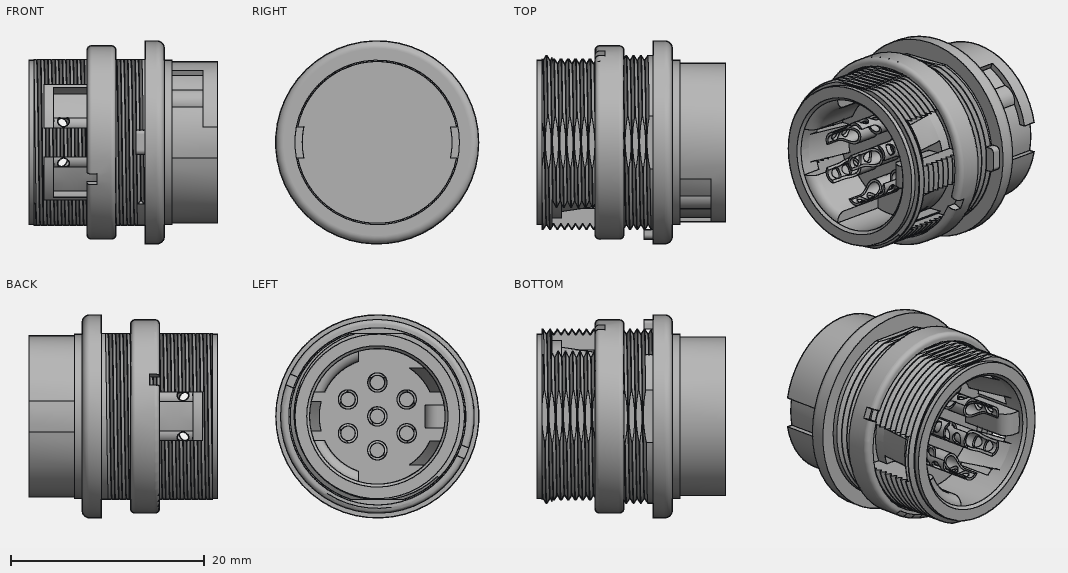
import cadquery as cq
import math

TOTAL_LENGTH = 19.5
COLLAR_END = 0.53
FLOOR_X = 6.6
NUT_START, NUT_END = 6.0, 9.0
FLANGE_START, FLANGE_END = 12.0, 14.0
SHOULDER_END = 14.8

CORE_RADIUS = 8.5
THREAD_RADIUS = 9.0
THREAD_ROOT_RADIUS = 8.52
THREAD_PITCH = 0.75
FRONT_THREAD_TURNS = 9
REAR_THREAD_TURNS = 4
GROOVE_START = 0.43
REAR_GROOVE_LEAD = 11
SEGMENTS_PER_TURN = 4
SEGMENT_ANGLE = 360 / SEGMENTS_PER_TURN
SEGMENT_ADVANCE = THREAD_PITCH / SEGMENTS_PER_TURN
GROOVE_ROOT_WIDTH = 0.06
GROOVE_MOUTH_WIDTH = 0.72
GROOVE_CLEARANCE = 0.03
FLAT_HALF_HEIGHT = 8.58
BORE_RADIUS = 7.0
BORE_CHAMFER = 0.3

WINDOW_START = 1.58
WINDOW_OPEN_START = 2.57
WINDOW_END = 7.8
LEDGE_RADIUS = 7.95
BAR_HALF_WIDTH = 1.5
SIDE_WINDOW_TOP = 5.97
SIDE_OPENING_TOP = 5.66
REAR_WINDOW_HALF_WIDTH = 2.5

TAB_TIP_RADIUS = 6.0
TAB_OUTER_START_RADIUS = 7.57
SIDE_TAB_BOTTOM, SIDE_TAB_TOP = 2.54, 5.0
REAR_TAB_HALF_WIDTH = 1.52

RIB_RADIUS = 6.0
RIB_START = 0.3
RIB_MIN_Y, RIB_MIN_Z = 1.97, 2.5
KEY_START = 0.8
KEY_INNER_Y = 4.93
KEY_HALF_WIDTH = 1.2
KEY_NOSE_RADIUS = 1.24
KEY_EDGE_RADIUS = 0.15

PIN_CIRCLE_RADIUS = 3.5
PIN_COUNT = 6
PIN_DIAMETER = 2.0
CUP_DIAMETER = 1.5
CUP_TIP_X = 0.85
CUP_BOTTOM_X = 6.0
LIP_HEIGHT = 0.5
CUP_CUT_RADIUS = 1.5
CUP_CUT_START = 2.5
WIRE_HOLE_DIAMETER = 1.2
WIRE_HOLE_STATIONS = (1.98, 3.58)

NUT_RADIUS = 10.0
NUT_FILLET = 0.5
NUT_BORE_RADIUS = 9.15
NUT_WEB_START, NUT_WEB_END = 7.8, 8.3
NUT_THREAD_RADIUS = 8.0
NUT_SLOT_WIDTH = 1.2
NUT_SLOT_DEPTH = 1.05
NUT_SLOT_ANGLE = 22.5

FLANGE_RADIUS = 10.5
FLANGE_FILLET = 0.8
LOCATOR_START = 11.05
LOCATOR_HALF_WIDTH = 1.27
LOCATOR_INNER_Y, LOCATOR_OUTER_Y = 9.0, 10.0
LOCATOR_FILLET = 0.45

PLUG_RADIUS = 8.36
PLUG_BASE_RADIUS = 7.74
PLUG_SLOT_HALF_WIDTH = 1.6
POCKET_END = 17.97
POCKET_TOP_ANGLE = 63.0
BUMP_START_ANGLE, BUMP_END_ANGLE = 28.2, 44.6
BUMP_HEIGHT = 0.4


def disc(x_start, x_end, radius):
    """Cylinder on the X axis between two stations."""
    return cq.Workplane("YZ", origin=(x_start, 0, 0)).circle(radius).extrude(x_end - x_start)


def block(x_start, x_end, y_start, y_end, z_start, z_end):
    """Box given by its limits along each axis."""
    size = (x_end - x_start, y_end - y_start, z_end - z_start)
    return cq.Workplane("XY").box(*size, centered=False).translate((x_start, y_start, z_start))


def revolved(points):
    """Body turned about the X axis from (x, radius) points."""
    return cq.Workplane("XY").polyline(points).close().revolve(360, (0, 0, 0), (1, 0, 0))


def groove_segment():
    """Quarter turn of a right-hand V groove, centred below the X axis at x = 0."""
    helix = cq.Wire.makeHelix(THREAD_PITCH, SEGMENT_ADVANCE, THREAD_ROOT_RADIUS)
    mouth_radius = THREAD_RADIUS + GROOVE_CLEARANCE
    profile = (
        cq.Workplane("XZ")
        .moveTo(THREAD_ROOT_RADIUS, -GROOVE_ROOT_WIDTH / 2)
        .lineTo(mouth_radius, -GROOVE_MOUTH_WIDTH / 2)
        .lineTo(mouth_radius, GROOVE_MOUTH_WIDTH / 2)
        .lineTo(THREAD_ROOT_RADIUS, GROOVE_ROOT_WIDTH / 2)
        .close()
    )
    segment = profile.sweep(cq.Workplane(helix), isFrenet=True)
    segment = segment.rotate((0, 0, 0), (0, 1, 0), 90)
    segment = segment.rotate((0, 0, 0), (1, 0, 0), -SEGMENT_ANGLE / 2)
    return segment.translate((-SEGMENT_ADVANCE / 2, 0, 0))


def thread_groove(start, turns):
    """Helical groove as a chain of quarter turns, which keeps each face small."""
    segment = groove_segment()
    chain = []
    for index in range(turns * SEGMENTS_PER_TURN):
        turned = segment.rotate((0, 0, 0), (1, 0, 0), SEGMENT_ANGLE * index)
        chain.append(turned.translate((start + SEGMENT_ADVANCE * index, 0, 0)).val())
    return cq.Workplane(chain[0].fuse(*chain[1:], glue=True))


def threaded_sleeve(x_start, x_end, groove_start, turns):
    """Tube with an outside thread that is flattened at top and bottom."""
    groove = thread_groove(groove_start, turns)
    flats = block(
        x_start, x_end,
        -THREAD_RADIUS, THREAD_RADIUS,
        -FLAT_HALF_HEIGHT, FLAT_HALF_HEIGHT,
    )
    sleeve = disc(x_start, x_end, THREAD_RADIUS).cut(groove, clean=False)
    sleeve = sleeve.intersect(flats, clean=False)
    return sleeve.cut(disc(x_start, x_end, BORE_RADIUS), clean=False)


def front_sleeve():
    """Thread ahead of the nut, opened by the windows."""
    sleeve = threaded_sleeve(COLLAR_END, NUT_WEB_START, GROOVE_START, FRONT_THREAD_TURNS)
    return sleeve.cut(windows(), clean=False)


def rear_sleeve():
    """Thread between nut and flange, in step with the thread ahead of the nut."""
    groove_start = GROOVE_START + REAR_GROOVE_LEAD * THREAD_PITCH
    return threaded_sleeve(NUT_WEB_START, FLANGE_START, groove_start, REAR_THREAD_TURNS)


def collar():
    """Plain lead-in ring with a chamfered mouth."""
    return revolved([
        (0, BORE_RADIUS + BORE_CHAMFER),
        (0, CORE_RADIUS),
        (COLLAR_END, CORE_RADIUS),
        (COLLAR_END, BORE_RADIUS),
        (BORE_CHAMFER, BORE_RADIUS),
    ])


def window(y_start, y_end, pocket_z, opening_z):
    """Shallow pocket leaving a ledge, with an opening through to the bore."""
    pocket = block(WINDOW_START, WINDOW_END, y_start, y_end, *pocket_z)
    pocket = pocket.cut(disc(WINDOW_START, WINDOW_END, LEDGE_RADIUS))
    return pocket.union(block(WINDOW_OPEN_START, WINDOW_END, y_start, y_end, *opening_z))


def windows():
    """Two windows on the -Y side and one on the +Y side."""
    upper = window(
        -FLANGE_RADIUS, -RIB_MIN_Y,
        (BAR_HALF_WIDTH, SIDE_WINDOW_TOP),
        (BAR_HALF_WIDTH, SIDE_OPENING_TOP),
    )
    rear_width = (-REAR_WINDOW_HALF_WIDTH, REAR_WINDOW_HALF_WIDTH)
    rear_window = window(RIB_RADIUS, FLANGE_RADIUS, rear_width, rear_width)
    return upper.union(upper.mirror("XY")).union(rear_window)


def tabs():
    """Conical tongues running from the front of each window inwards to the floor."""
    cone = revolved([
        (WINDOW_START, BORE_RADIUS),
        (WINDOW_START, TAB_OUTER_START_RADIUS),
        (WINDOW_OPEN_START, TAB_OUTER_START_RADIUS),
        (FLOOR_X, BORE_RADIUS),
        (FLOOR_X, TAB_TIP_RADIUS),
    ])
    upper = block(WINDOW_START, FLOOR_X, -FLANGE_RADIUS, 0, SIDE_TAB_BOTTOM, SIDE_TAB_TOP)
    rear_tab = block(
        WINDOW_START, FLOOR_X, 0, FLANGE_RADIUS, -REAR_TAB_HALF_WIDTH, REAR_TAB_HALF_WIDTH
    )
    return cone.intersect(upper.union(upper.mirror("XY")).union(rear_tab))


def bore_ribs():
    """Two curved ribs with rounded noses on the +Y half of the bore."""
    nose_radius = BORE_RADIUS - RIB_RADIUS
    nose_mid = nose_radius * (1 - math.sqrt(0.5))
    rib_ring = (
        cq.Workplane("XY")
        .moveTo(RIB_START, BORE_RADIUS)
        .threePointArc(
            (RIB_START + nose_mid, BORE_RADIUS - nose_radius + nose_mid),
            (RIB_START + nose_radius, RIB_RADIUS),
        )
        .lineTo(FLOOR_X, RIB_RADIUS)
        .lineTo(FLOOR_X, BORE_RADIUS)
        .close()
        .revolve(360, (0, 0, 0), (1, 0, 0))
    )
    upper = block(0, FLOOR_X, RIB_MIN_Y, BORE_RADIUS, RIB_MIN_Z, BORE_RADIUS)
    return rib_ring.intersect(upper.union(upper.mirror("XY")))


def bore_key():
    """Key with a rounded nose on the -Y side of the bore."""
    limits = (KEY_START, FLOOR_X, -LEDGE_RADIUS, -KEY_INNER_Y, -KEY_HALF_WIDTH, KEY_HALF_WIDTH)
    nosed = block(*limits).edges("|Z and <X and >Y").fillet(KEY_NOSE_RADIUS)
    rounded = block(*limits).edges("|X and >Y").fillet(KEY_EDGE_RADIUS)
    return nosed.intersect(rounded).intersect(disc(0, FLOOR_X, BORE_RADIUS))


def solder_pin():
    """Pin on the X axis whose cup is cut away to leave a lip on the +Y side."""
    radius = PIN_DIAMETER / 2
    pin = disc(CUP_TIP_X, FLOOR_X, radius).cut(disc(CUP_TIP_X, CUP_BOTTOM_X, CUP_DIAMETER / 2))
    cut_end = CUP_CUT_START + CUP_CUT_RADIUS
    arc_step = CUP_CUT_RADIUS * math.sqrt(0.5)
    cut_profile = (
        cq.Workplane("XY", origin=(0, 0, -radius))
        .moveTo(CUP_TIP_X, LIP_HEIGHT)
        .lineTo(CUP_CUT_START, LIP_HEIGHT)
        .threePointArc(
            (CUP_CUT_START + arc_step, LIP_HEIGHT - CUP_CUT_RADIUS + arc_step),
            (cut_end, LIP_HEIGHT - CUP_CUT_RADIUS),
        )
        .lineTo(CUP_TIP_X, LIP_HEIGHT - CUP_CUT_RADIUS)
        .close()
        .extrude(PIN_DIAMETER)
    )
    pin = pin.cut(cut_profile)
    for station in WIRE_HOLE_STATIONS:
        hole = cq.Workplane("XZ", origin=(station, 0, 0)).circle(WIRE_HOLE_DIAMETER / 2)
        pin = pin.cut(hole.extrude(-PIN_DIAMETER))
    return pin


def contacts():
    """One contact on the axis and six around it with their lips facing outwards."""
    centre_pin = solder_pin()
    group = centre_pin
    for index in range(PIN_COUNT):
        angle = 360 / PIN_COUNT * (index + 0.5)
        pin = centre_pin.translate((0, PIN_CIRCLE_RADIUS, 0))
        group = group.union(pin.rotate((0, 0, 0), (1, 0, 0), angle))
    return group


def insert():
    """Solid insulator filling the bore behind the floor."""
    return disc(FLOOR_X, FLANGE_START, BORE_RADIUS)


def nut():
    """Round nut with recessed ends and two spanner slots in its front face."""
    body = disc(NUT_START, NUT_END, NUT_RADIUS).edges().fillet(NUT_FILLET)
    body = body.cut(disc(NUT_START, NUT_WEB_START, NUT_BORE_RADIUS))
    body = body.cut(disc(NUT_WEB_END, NUT_END, NUT_BORE_RADIUS))
    body = body.cut(disc(NUT_START, NUT_END, NUT_THREAD_RADIUS))
    slot_half = NUT_SLOT_WIDTH / 2
    slot = block(
        NUT_START, NUT_START + NUT_SLOT_DEPTH,
        -FLANGE_RADIUS, FLANGE_RADIUS,
        -slot_half, slot_half,
    )
    slot = slot.cut(disc(NUT_START, NUT_END, NUT_BORE_RADIUS))
    return body.cut(slot.rotate((0, 0, 0), (1, 0, 0), NUT_SLOT_ANGLE))


def flange():
    """Flange with a rounded rim, its locating key and the shoulder behind it."""
    body = disc(FLANGE_START, FLANGE_END, FLANGE_RADIUS).faces(">X").edges().fillet(FLANGE_FILLET)
    locator = block(
        LOCATOR_START, FLANGE_START,
        -LOCATOR_OUTER_Y, -LOCATOR_INNER_Y,
        -LOCATOR_HALF_WIDTH, LOCATOR_HALF_WIDTH,
    )
    locator = locator.edges("|X and <Y").fillet(LOCATOR_FILLET)
    return body.union(locator).union(disc(FLANGE_END, SHOULDER_END, CORE_RADIUS))


def plug_point(radius, angle):
    """(y, z) on the plug at an angle measured from -Y towards +Z."""
    turn = math.radians(angle)
    return (-radius * math.cos(turn), radius * math.sin(turn))


def plug_pocket():
    """Pocket above the -Y slot, bounded by a radial wall, with a rounded bump on its base."""
    reach = 2 * PLUG_RADIUS
    sector = (
        cq.Workplane("YZ", origin=(SHOULDER_END, 0, 0))
        .polyline([(0, 0), (-reach, 0), plug_point(reach, POCKET_TOP_ANGLE)])
        .close()
        .extrude(POCKET_END - SHOULDER_END)
    )
    bump_middle_angle = (BUMP_START_ANGLE + BUMP_END_ANGLE) / 2
    bump = (
        cq.Workplane("YZ", origin=(SHOULDER_END, 0, 0))
        .moveTo(*plug_point(PLUG_BASE_RADIUS, BUMP_START_ANGLE))
        .threePointArc(
            plug_point(PLUG_BASE_RADIUS + BUMP_HEIGHT, bump_middle_angle),
            plug_point(PLUG_BASE_RADIUS, BUMP_END_ANGLE),
        )
        .lineTo(0, 0)
        .close()
        .extrude(POCKET_END - SHOULDER_END)
    )
    return sector.cut(disc(SHOULDER_END, POCKET_END, PLUG_BASE_RADIUS)).cut(bump)


def plug():
    """Mating end with a shallow slot on each side and one pocket."""
    slots = block(
        SHOULDER_END, TOTAL_LENGTH,
        -FLANGE_RADIUS, FLANGE_RADIUS,
        -PLUG_SLOT_HALF_WIDTH, PLUG_SLOT_HALF_WIDTH,
    ).cut(disc(SHOULDER_END, TOTAL_LENGTH, PLUG_BASE_RADIUS))
    return disc(SHOULDER_END, TOTAL_LENGTH, PLUG_RADIUS).cut(slots).cut(plug_pocket())


inside = tabs().union(bore_ribs()).union(bore_key()).union(contacts()).union(insert())
rear = nut().union(flange()).union(plug()).union(rear_sleeve(), clean=False)
result = front_sleeve().union(collar().union(inside), clean=False).union(rear, clean=False)